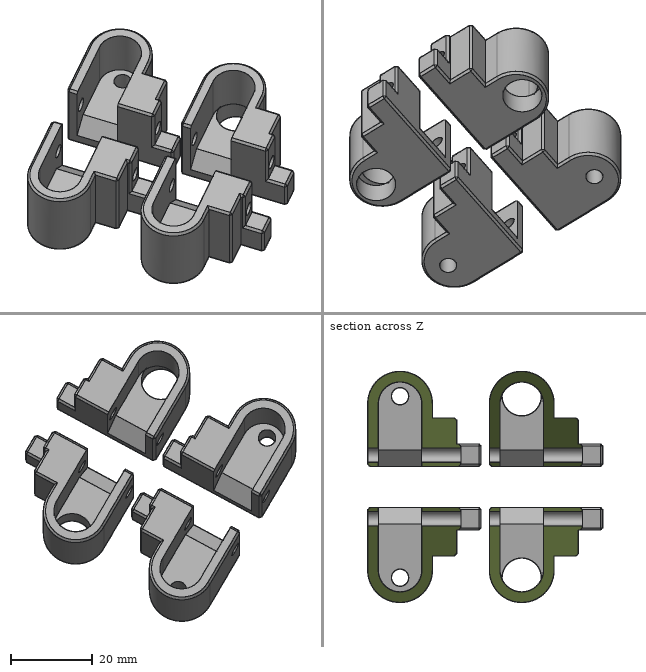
import cadquery as cq

TOTAL_WIDTH = 58.0
TOTAL_LENGTH = 57.0

HEIGHT = 20.0
CLEVIS_WIDTH = 16.0
NOSE_RADIUS = CLEVIS_WIDTH / 2
BODY_LENGTH = 23.5
NOSE_CENTER_Y = BODY_LENGTH - NOSE_RADIUS
CHAMFER = 0.6

LUG_WIDTH = 22.0
LUG_LENGTH = 12.0
TONGUE_WIDTH = 28.0
TONGUE_LENGTH = 5.6
TONGUE_HEIGHT = 8.0
TONGUE_STEP_X = 22.95

SLOT_WIDTH = 10.7
SLOT_FLOOR = 6.6
RAMP_LENGTH = 4.1
RAMP_START = 3.15

CROSS_HOLE_DIAMETER = 3.4
CROSS_HOLE_Y = 2.8
CROSS_HOLE_Z = 12.0
FLOOR_HOLE_Y = 17.35
SMALL_HOLE_DIAMETER = 4.2
LARGE_HOLE_DIAMETER = 9.6

COLUMN_PITCH = TOTAL_WIDTH - TONGUE_WIDTH
ROW_GAP = TOTAL_LENGTH - 2 * BODY_LENGTH


def chamfered_block():
    """Round-nosed, stepped block with its mouth on y = 0 and all outer edges chamfered."""
    block = (
        cq.Workplane("XY")
        .lineTo(TONGUE_WIDTH, 0)
        .lineTo(TONGUE_WIDTH, TONGUE_LENGTH)
        .lineTo(LUG_WIDTH, TONGUE_LENGTH)
        .lineTo(LUG_WIDTH, LUG_LENGTH)
        .lineTo(CLEVIS_WIDTH, LUG_LENGTH)
        .lineTo(CLEVIS_WIDTH, NOSE_CENTER_Y)
        .threePointArc((NOSE_RADIUS, BODY_LENGTH), (0, NOSE_CENTER_Y))
        .close()
        .extrude(HEIGHT)
    )
    above_tongue = cq.Workplane("XY", origin=(TONGUE_STEP_X, 0, TONGUE_HEIGHT)).box(
        TONGUE_WIDTH - TONGUE_STEP_X, TONGUE_LENGTH, HEIGHT - TONGUE_HEIGHT, centered=False
    )
    block = block.cut(above_tongue)

    sharp_midpoints = [
        (CLEVIS_WIDTH, LUG_LENGTH, HEIGHT / 2),
        (LUG_WIDTH, TONGUE_LENGTH, HEIGHT / 2),
        (TONGUE_STEP_X, TONGUE_LENGTH / 2, TONGUE_HEIGHT),
        (0, NOSE_CENTER_Y, HEIGHT / 2),
        (CLEVIS_WIDTH, NOSE_CENTER_Y, HEIGHT / 2),
    ]
    outer_edges = block.edges()
    for midpoint in sharp_midpoints:
        sharp_edge = cq.selectors.NearestToPointSelector(midpoint)
        outer_edges = outer_edges.edges(cq.selectors.InverseSelector(sharp_edge))
    return outer_edges.chamfer(CHAMFER)


def slot():
    """Round-ended slot open at the mouth and the top, with a ramp down to the mouth."""
    radius = SLOT_WIDTH / 2
    left = NOSE_RADIUS - radius
    right = NOSE_RADIUS + radius
    channel = (
        cq.Workplane("XY", origin=(0, 0, SLOT_FLOOR))
        .moveTo(left, 0)
        .lineTo(right, 0)
        .lineTo(right, NOSE_CENTER_Y)
        .threePointArc((NOSE_RADIUS, NOSE_CENTER_Y + radius), (left, NOSE_CENTER_Y))
        .close()
        .extrude(HEIGHT - SLOT_FLOOR)
    )
    ramp = (
        cq.Workplane("YZ", origin=(left, 0, 0))
        .moveTo(0, RAMP_START)
        .lineTo(RAMP_LENGTH, SLOT_FLOOR)
        .lineTo(0, SLOT_FLOOR)
        .close()
        .extrude(SLOT_WIDTH)
    )
    return channel.union(ramp)


def cross_hole():
    """Pin hole along X through both slot walls and the lug."""
    return (
        cq.Workplane("YZ")
        .center(CROSS_HOLE_Y, CROSS_HOLE_Z)
        .circle(CROSS_HOLE_DIAMETER / 2)
        .extrude(TONGUE_WIDTH)
    )


def floor_hole(diameter):
    """Vertical hole through the slot floor only."""
    return (
        cq.Workplane("XY")
        .center(NOSE_RADIUS, FLOOR_HOLE_Y)
        .circle(diameter / 2)
        .extrude(SLOT_FLOOR)
    )


def clevis(floor_hole_diameter):
    """Slotted clevis with a stepped lug, its mouth facing -Y."""
    return chamfered_block().cut(slot()).cut(cross_hole()).cut(floor_hole(floor_hole_diameter))


def facing_pair(floor_hole_diameter, x):
    """Two mirrored clevises whose mouths face each other across y = 0."""
    back = clevis(floor_hole_diameter).translate((x, ROW_GAP / 2, 0))
    front = back.mirror("XZ")
    return [back.val(), front.val()]


small_hole_clevises = facing_pair(SMALL_HOLE_DIAMETER, 0)
large_hole_clevises = facing_pair(LARGE_HOLE_DIAMETER, COLUMN_PITCH)

result = cq.Compound.makeCompound([*small_hole_clevises, *large_hole_clevises])